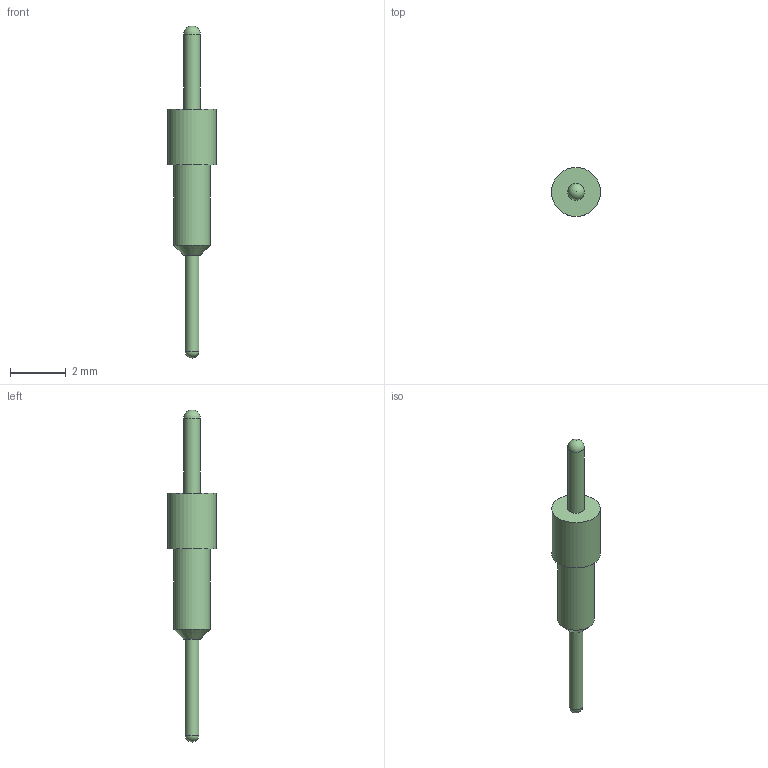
import cadquery as cq
import math

plunger_diameter = 0.6
plunger_length = 3.0
collar_diameter = 1.76
collar_height = 2.0
barrel_diameter = 1.32
barrel_length = 3.26
taper_height = 0.36
taper_end_diameter = 0.62
tail_diameter = 0.5
tail_length = 3.7


def round_tipped_rod(diameter, length):
    """Rod rising from Z = 0 whose upper end is a hemisphere."""
    radius = diameter / 2
    straight = length - radius
    arc_mid = radius * math.sqrt(0.5)
    return (
        cq.Workplane("XZ")
        .lineTo(radius, 0)
        .lineTo(radius, straight)
        .threePointArc((arc_mid, straight + arc_mid), (0, length))
        .close()
        .revolve(360, (0, 0, 0), (0, 1, 0))
    )


def tapered_barrel():
    """Barrel hanging from the collar, narrowing to a cone at its lower end."""
    barrel_radius = barrel_diameter / 2
    return (
        cq.Workplane("XZ")
        .lineTo(barrel_radius, 0)
        .lineTo(barrel_radius, taper_height - barrel_length)
        .lineTo(taper_end_diameter / 2, -barrel_length)
        .lineTo(0, -barrel_length)
        .close()
        .revolve(360, (0, 0, 0), (0, 1, 0))
    )


collar = cq.Workplane("XY").circle(collar_diameter / 2).extrude(collar_height)
plunger = round_tipped_rod(plunger_diameter, plunger_length).translate((0, 0, collar_height))
tail = (
    round_tipped_rod(tail_diameter, tail_length)
    .rotate((0, 0, 0), (1, 0, 0), 180)
    .translate((0, 0, -barrel_length))
)

result = collar.union(tapered_barrel()).union(plunger).union(tail)